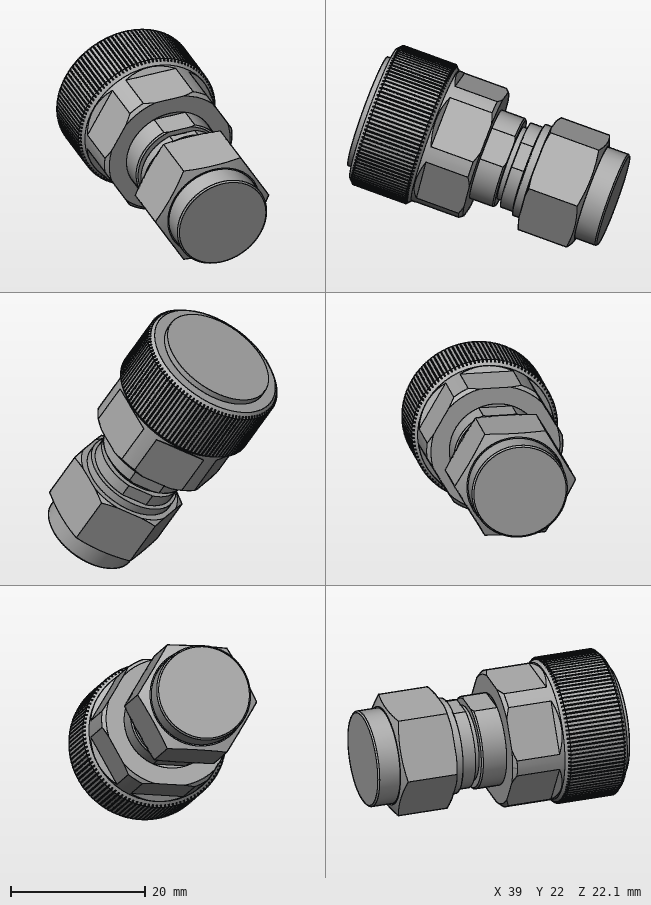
import cadquery as cq
import math


HEX_SIDES = 6
HEX_STEP = 360 / HEX_SIDES

face_radius = 8.62
neck_radius = 7.0
neck_flat_half = 6.5
neck_end = 22.67
neck_chamfer = 0.25
groove_radius = 5.7
flange_start = 23.53
flange_end = 25.5
flange_radius = 6.67
flange_flat_half = 6.35
spigot_radius = 5.95

coupling_start = 0.95
coupling_end = 18.75
knurl_diameter = 22.05
knurl_radius = knurl_diameter / 2
sleeve_radius = 10.3
knurl_end = 10.75
knurl_count = 110
knurl_groove_depth = 0.3
knurl_groove_width = 0.15
knurl_chamfer = knurl_radius - sleeve_radius
sleeve_chamfer = 0.55
coupling_flat_half = 9.5
coupling_flat_start = 11.55
coupling_flat_runout = 0.7
bore_shoulder = knurl_end

clamp_start = 25.68
clamp_end = 39.02
clamp_radius = 7.2
clamp_chamfer = 0.25
hex_start = 26.95
hex_end = 35.6
hex_across_flats = 15.9
hex_corner_radius = hex_across_flats / 2 / math.cos(math.pi / HEX_SIDES)
hex_front_rim_radius = 8.2
hex_rear_rim_radius = 7.4
hex_cone_slope = 0.35


def turned(profile):
    """Solid of revolution about X from (x, radius) points; the outline is closed along the axis."""
    first_x = profile[0][0]
    last_x = profile[-1][0]
    outline = [(first_x, 0), *profile, (last_x, 0)]
    return cq.Workplane("XY").polyline(outline).close().revolve(360, (0, 0, 0), (1, 0, 0))


def cylinder(start, end, radius):
    return turned([(start, radius), (end, radius)])


def cut_two_flats(body, start, end, radius, flat_half):
    """Cut parallel flats facing +Z and -Z on the stretch from start to end."""
    depth = radius - flat_half
    for side in (1, -1):
        middle = ((start + end) / 2, 0, side * (flat_half + depth / 2))
        body = body.cut(cq.Workplane("XY").box(end - start, 2 * radius, depth).translate(middle))
    return body


def make_main_body():
    body = turned([
        (0, face_radius),
        (bore_shoulder, face_radius),
        (bore_shoulder, neck_radius),
        (neck_end - neck_chamfer, neck_radius),
        (neck_end, neck_radius - neck_chamfer),
        (neck_end, groove_radius),
        (flange_start, groove_radius),
        (flange_start, flange_radius),
        (flange_end, flange_radius),
        (flange_end, spigot_radius),
        (clamp_start, spigot_radius),
    ])
    body = cut_two_flats(body, coupling_end, neck_end, neck_radius, neck_flat_half)
    return cut_two_flats(body, flange_start, flange_end, flange_radius, flange_flat_half)


def make_coupling_blank():
    return turned([
        (coupling_start, sleeve_radius),
        (coupling_start + knurl_chamfer, knurl_radius),
        (knurl_end - knurl_chamfer, knurl_radius),
        (knurl_end, sleeve_radius),
        (coupling_end - sleeve_chamfer, sleeve_radius),
        (coupling_end, sleeve_radius - sleeve_chamfer),
    ])


def knurl_cutters():
    """Square grooves all round the grip from the Y axis, each the full length of the knurled stretch."""
    length = knurl_end - coupling_start
    groove = (
        cq.Workplane("XY")
        .box(length, 2 * knurl_groove_depth, knurl_groove_width)
        .translate((coupling_start + length / 2, knurl_radius, 0))
        .val()
    )
    step = 360 / knurl_count
    return [groove.rotate((0, 0, 0), (1, 0, 0), i * step) for i in range(knurl_count)]


def coupling_flat_cutters():
    """Six wrench flats, each sloping out to the sleeve surface toward the knurl."""
    height = 2 * (sleeve_radius - coupling_flat_half)
    runout = 2 * coupling_flat_runout
    flat = (
        cq.Workplane("XZ")
        .polyline([
            (coupling_flat_start, coupling_flat_half),
            (coupling_end, coupling_flat_half),
            (coupling_end, coupling_flat_half + height),
            (coupling_flat_start - runout, coupling_flat_half + height),
        ])
        .close()
        .extrude(sleeve_radius, both=True)
        .val()
    )
    return [flat.rotate((0, 0, 0), (1, 0, 0), i * HEX_STEP) for i in range(HEX_SIDES)]


def make_coupling_nut():
    nut = make_coupling_blank().val()
    nut = nut.cut(*knurl_cutters())
    nut = nut.cut(*coupling_flat_cutters())
    front_bore = cylinder(coupling_start, bore_shoulder, face_radius).val()
    rear_bore = cylinder(bore_shoulder, coupling_end, neck_radius).val()
    return cq.Workplane(nut.cut(front_bore, rear_bore))


def make_clamp_hex():
    """Hexagon with flats facing +Z and -Z, its corners coned off at both ends."""
    front_rise = hex_cone_slope * (hex_corner_radius - hex_front_rim_radius)
    rear_rise = hex_cone_slope * (hex_corner_radius - hex_rear_rim_radius)
    prism = (
        cq.Workplane("YZ", origin=(hex_start, 0, 0))
        .polygon(HEX_SIDES, 2 * hex_corner_radius)
        .extrude(hex_end - hex_start)
    )
    envelope = turned([
        (hex_start, hex_front_rim_radius),
        (hex_start + front_rise, hex_corner_radius),
        (hex_end - rear_rise, hex_corner_radius),
        (hex_end, hex_rear_rim_radius),
    ])
    return prism.intersect(envelope)


def make_clamp_nut():
    barrel = turned([
        (clamp_start, clamp_radius),
        (clamp_end - clamp_chamfer, clamp_radius),
        (clamp_end, clamp_radius - clamp_chamfer),
    ])
    return barrel.union(make_clamp_hex())


main_body = make_main_body()
coupling_nut = make_coupling_nut()
clamp_nut = make_clamp_nut()

result = cq.Compound.makeCompound([main_body.val(), coupling_nut.val(), clamp_nut.val()])